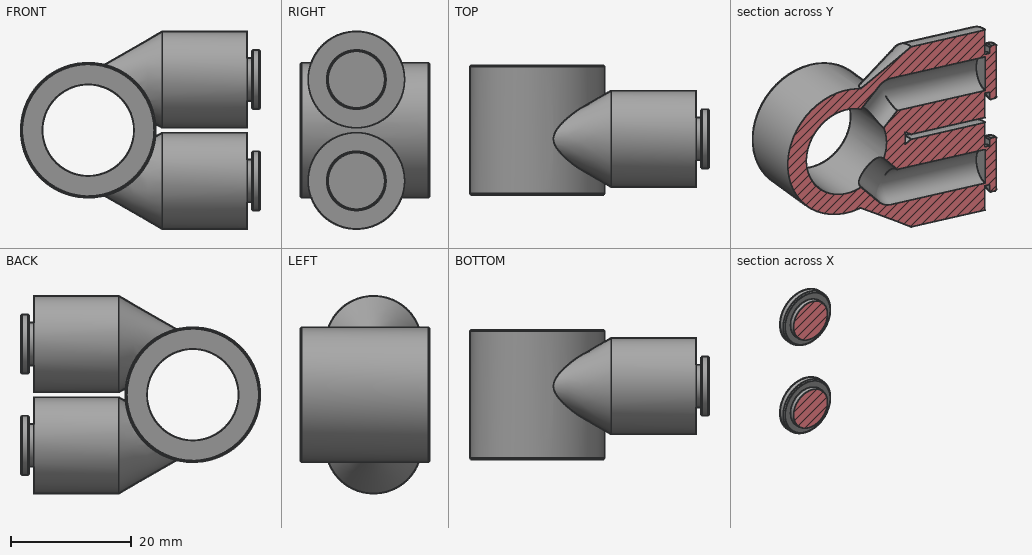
import cadquery as cq
import math

ring_radius = 11.2
ring_width = 21.5
ring_bore_radius = 15.1 / 2
ring_chamfer = 0.28

branch_radius = 16.0 / 2
branch_y = -1.43
overall_height = 32.75
branch_offset = overall_height / 2 - branch_radius
shoulder_x = 12.25
branch_end_x = 26.3
cone_half_angle = 30
cone_apex_x = shoulder_x - branch_radius / math.tan(math.radians(cone_half_angle))

overall_length = 39.65
collet_end_x = overall_length - ring_radius
collet_neck_radius = 3.55
collet_flange_radius = 4.9
collet_flange_width = 1.4
collet_chamfer = 0.25

passage_radius = 3.0
elbow_x = branch_offset
passage_end_x = branch_end_x


def x_cylinder(radius, start_x, end_x, z):
    """Cylinder along X, on a branch axis at height z."""
    return cq.Workplane("YZ", origin=(start_x, branch_y, z)).circle(radius).extrude(end_x - start_x)


def y_cylinder(radius):
    """Cylinder along Y spanning the ring width."""
    return cq.Workplane("XZ", origin=(0, ring_width / 2, 0)).circle(radius).extrude(ring_width)


def make_ring():
    ring = y_cylinder(ring_radius)
    return ring.faces("<Y or >Y").edges().chamfer(ring_chamfer)


def make_branch(z):
    outline = [(cone_apex_x, 0), (shoulder_x, branch_radius), (branch_end_x, branch_radius), (branch_end_x, 0)]
    body = (
        cq.Workplane("XY")
        .polyline(outline)
        .close()
        .revolve(360, (0, 0, 0), (1, 0, 0))
        .translate((0, branch_y, z))
    )
    flange_x = collet_end_x - collet_flange_width
    neck = x_cylinder(collet_neck_radius, branch_end_x, flange_x, z)
    flange = x_cylinder(collet_flange_radius, flange_x, collet_end_x, z)
    flange = flange.faces("<X or >X").edges().chamfer(collet_chamfer)
    return body.union(neck).union(flange)


def make_passage(z):
    port_length = math.hypot(elbow_x, z)
    port = cq.Workplane(cq.Plane(origin=(0, branch_y, 0), xDir=(0, 1, 0), normal=(elbow_x, 0, z)))
    port = port.circle(passage_radius).extrude(port_length)
    elbow = cq.Workplane("XY").sphere(passage_radius).translate((elbow_x, branch_y, z))
    return port.union(elbow).union(x_cylinder(passage_radius, elbow_x, passage_end_x, z))


result = make_ring()
for branch_z in (-branch_offset, branch_offset):
    result = result.union(make_branch(branch_z))
for branch_z in (-branch_offset, branch_offset):
    result = result.cut(make_passage(branch_z))
result = result.cut(y_cylinder(ring_bore_radius))